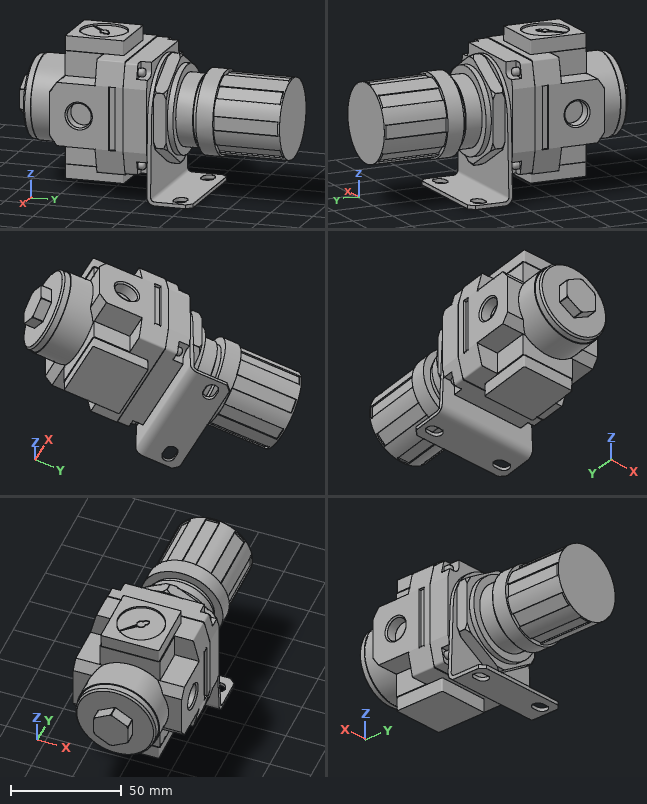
import cadquery as cq
import math


OVERLAP = 0.6

CAP_FRONT = 5.4
CAP_SHOULDER = 9.2
PORT_FRONT = 20.4
COLUMN_FRONT = 23.8
WING_FRONT = 42.1
BONNET_FRONT = 55.5
NOTCH_FRONT = 61.6
BRACKET_FRONT = 66.7
BRACKET_BACK = 68.6
NUT_BACK = 74.7
WASHER_BACK = 77.4
BARREL_BACK = 85.4
COLLAR_FRONT = 88.0
COLLAR_BACK = 96.0
KNOB_BACK = 127.5

CAP_DIAMETER = 40.0
CAP_RIM_DIAMETER = 39.0
CAP_RIM_CHAMFER = 0.9
WASHER_DIAMETER = 42.0
BARREL_DIAMETER = 34.0
NECK_DIAMETER = 32.0
COLLAR_DIAMETER = 40.0
KNOB_DIAMETER = 38.0

BODY_HALF_WIDTH = 26.4
BONNET_HALF_WIDTH = 26.5
TOP_HALF_WIDTH = 23.6
SIDE_HALF_HEIGHT = 14.9
BODY_HALF_HEIGHT = 26.6
BONNET_HALF_HEIGHT = 26.3
BODY_CORNER_RADIUS = 0.9
BONNET_CORNER_RADIUS = 1.4
COLUMN_HALF_WIDTH = 14.5
PORT_CHAMFER_Y = 3.5
PORT_CHAMFER_Z = 4.7

PORT_DIAMETER = 11.5
PORT_DEPTH = 6.0
PORT_Y = 34.3
PORT_CHAMFER = 0.8
GROOVE_FRONT = 48.6
GROOVE_BACK = 51.6
GROOVE_DEPTH = 1.4

GAUGE_WIDTH = 28.2
GAUGE_Y = 37.6
GAUGE_TOP = 33.5
GAUGE_CORNER_RADIUS = 0.6
DIAL_DIAMETER = 22.0
DIAL_DEPTH = 0.9
POINTER_HEIGHT = 0.4
HUB_DIAMETER = 4.0
NEEDLE_LENGTH = 10.6
NEEDLE_HALF_WIDTH = 0.6
TAIL_LENGTH = 4.2
TAIL_HALF_WIDTH = 1.3

NOTCH_INNER = 19.4
NOTCH_CORNER_RADIUS = 3.0
SCREW_OFFSET = 21.8
SCREW_DIAMETER = 4.0
SCREW_LENGTH = 3.0
SCREW_DOME = 1.3

PLUG_ACROSS_FLATS = 16.7
PLUG_CHAMFER = 0.4
PLUG_CORNER_DIAMETER = 19.1
NUT_ACROSS_FLATS = 45.0
NUT_CHAMFER = 1.3
NUT_CORNER_DIAMETER = 51.9

GRIP_COUNT = 8
GRIP_WIDTH = 6.6
GRIP_RADIUS = 18.0
KNOB_LIP = 0.9

BRACKET_HALF_WIDTH = BONNET_HALF_WIDTH
BRACKET_BOTTOM = -39.0
BRACKET_THICKNESS = BRACKET_BACK - BRACKET_FRONT
BRACKET_TOP_RADIUS = 25.1
BEND_RADIUS = 4.0
FLANGE_BACK = 88.0
FLANGE_CHAMFER = 2.7
SLOT_WIDTH = 6.0
SLOT_LENGTH = 8.5
SLOT_OUTER = 24.0
SLOT_Y = 80.6


def box(x0, x1, y0, y1, z0, z1):
    """Block between two opposite corners."""
    return cq.Workplane("XY").box(x1 - x0, y1 - y0, z1 - z0, centered=False).translate((x0, y0, z0))


def across(y):
    """Workplane across the main axis at station y; negative extrusion runs towards +Y."""
    return cq.Workplane("XZ", origin=(0, y, 0))


def rod(diameter, y0, y1):
    """Cylinder on the main axis."""
    return across(y0).circle(diameter / 2).extrude(y0 - y1)


def hexagon(across_flats, y0, y1):
    """Hexagonal prism on the main axis with a corner pointing up."""
    corner_diameter = across_flats / math.cos(math.pi / 6)
    return across(y0).transformed(rotate=(0, 0, 90)).polygon(6, corner_diameter).extrude(y0 - y1)


def tapered_section(y0, y1, half_width, half_height, corner_radius):
    """Prism with flat sides and flanks leaning in towards a narrower top and bottom."""
    upper = [(half_width, SIDE_HALF_HEIGHT), (TOP_HALF_WIDTH, half_height)]
    right = [(x, -z) for x, z in reversed(upper)] + upper
    left = [(-x, z) for x, z in reversed(right)]
    prism = across(y0).polyline(right + left).close().extrude(y0 - y1)
    return prism.faces("<Z or >Z").edges("|Y").fillet(corner_radius)


def make_end_cap():
    rim = rod(CAP_RIM_DIAMETER, CAP_FRONT, CAP_SHOULDER).faces("<Y").chamfer(CAP_RIM_CHAMFER)
    shell = rod(CAP_DIAMETER, CAP_SHOULDER, WING_FRONT)
    plug = hexagon(PLUG_ACROSS_FLATS, 0, CAP_FRONT)
    plug_envelope = rod(PLUG_CORNER_DIAMETER, 0, CAP_FRONT).faces("<Y").chamfer(PLUG_CHAMFER)
    return shell.union(rim).union(plug.intersect(plug_envelope))


def make_port_block():
    """Block running out to both sides with sloped front edges."""
    sloped_z = SIDE_HALF_HEIGHT - PORT_CHAMFER_Z
    sloped_y = PORT_FRONT + PORT_CHAMFER_Y
    outline = [
        (PORT_FRONT, -sloped_z), (sloped_y, -SIDE_HALF_HEIGHT), (BONNET_FRONT, -SIDE_HALF_HEIGHT),
        (BONNET_FRONT, SIDE_HALF_HEIGHT), (sloped_y, SIDE_HALF_HEIGHT), (PORT_FRONT, sloped_z),
    ]
    return cq.Workplane("YZ").polyline(outline).close().extrude(BODY_HALF_WIDTH, both=True)


def make_port_cuts():
    """Chamfered blind hole and shallow groove in each flat side."""
    radius = PORT_DIAMETER / 2
    hole = cq.Workplane("YZ", origin=(BODY_HALF_WIDTH, PORT_Y, 0)).circle(radius).extrude(-PORT_DEPTH)
    countersink = cq.Workplane(
        cq.Solid.makeCone(
            radius + PORT_CHAMFER, radius, PORT_CHAMFER,
            cq.Vector(BODY_HALF_WIDTH, PORT_Y, 0), cq.Vector(-1, 0, 0),
        )
    )
    groove = box(
        BODY_HALF_WIDTH - GROOVE_DEPTH, BODY_HALF_WIDTH, GROOVE_FRONT, GROOVE_BACK,
        -SIDE_HALF_HEIGHT, SIDE_HALF_HEIGHT,
    )
    one_side = hole.union(countersink).union(groove)
    return one_side.union(one_side.mirror("YZ"))


def make_body():
    wings = tapered_section(WING_FRONT, BONNET_FRONT, BODY_HALF_WIDTH, BODY_HALF_HEIGHT, BODY_CORNER_RADIUS)
    column = box(
        -COLUMN_HALF_WIDTH, COLUMN_HALF_WIDTH, COLUMN_FRONT, WING_FRONT + OVERLAP,
        -BODY_HALF_HEIGHT, BODY_HALF_HEIGHT,
    )
    return wings.union(column).union(make_port_block()).cut(make_port_cuts())


def make_gauge():
    """Square gauge on top with a sunken dial and raised pointer, and a plain cover below."""
    half = GAUGE_WIDTH / 2
    block = box(-half, half, GAUGE_Y - half, GAUGE_Y + half, BODY_HALF_HEIGHT, GAUGE_TOP)
    block = block.edges("|Z").fillet(GAUGE_CORNER_RADIUS)
    cover = block.mirror("XY")
    dial_floor = cq.Workplane("XY", origin=(0, GAUGE_Y, GAUGE_TOP - DIAL_DEPTH))
    block = block.cut(dial_floor.circle(DIAL_DIAMETER / 2).extrude(DIAL_DEPTH))
    pointer_plane = dial_floor.transformed(rotate=(0, 0, 45))
    hub = pointer_plane.circle(HUB_DIAMETER / 2).extrude(POINTER_HEIGHT)
    shoulder = TAIL_LENGTH - TAIL_HALF_WIDTH
    arrow = [
        (-NEEDLE_LENGTH, 0), (0, -NEEDLE_HALF_WIDTH), (0, -TAIL_HALF_WIDTH), (shoulder, -TAIL_HALF_WIDTH),
        (TAIL_LENGTH, 0), (shoulder, TAIL_HALF_WIDTH), (0, TAIL_HALF_WIDTH), (0, NEEDLE_HALF_WIDTH),
    ]
    pointer = pointer_plane.polyline(arrow).close().extrude(POINTER_HEIGHT)
    return block.union(hub).union(pointer).union(cover)


def make_bonnet():
    """Section behind the body, with a dome-headed screw in a notch at each corner."""
    bonnet = tapered_section(
        BONNET_FRONT, BRACKET_FRONT, BONNET_HALF_WIDTH, BONNET_HALF_HEIGHT, BONNET_CORNER_RADIUS
    )
    notch = box(
        NOTCH_INNER, BONNET_HALF_WIDTH, NOTCH_FRONT, BRACKET_FRONT, NOTCH_INNER, BONNET_HALF_WIDTH
    )
    notch = notch.edges("|Y and <X and <Z").fillet(NOTCH_CORNER_RADIUS)
    screw_front = NOTCH_FRONT - OVERLAP
    screw = rod(SCREW_DIAMETER, screw_front, NOTCH_FRONT + SCREW_LENGTH)
    screw = screw.faces(">Y").edges().fillet(SCREW_DOME).translate((SCREW_OFFSET, 0, SCREW_OFFSET))
    for quarter in range(4):
        bonnet = bonnet.cut(notch.rotate((0, 0, 0), (0, 1, 0), 90 * quarter))
        bonnet = bonnet.union(screw.rotate((0, 0, 0), (0, 1, 0), 90 * quarter))
    return bonnet


def make_bracket():
    """Bent plate: an upright with a round top and sides tangent to it, and a slotted flange."""
    bend_z = BRACKET_BOTTOM + BEND_RADIUS
    tangent_angle = math.atan2(bend_z, BRACKET_HALF_WIDTH) + math.acos(
        BRACKET_TOP_RADIUS / math.hypot(BRACKET_HALF_WIDTH, bend_z)
    )
    tangent_x = BRACKET_TOP_RADIUS * math.cos(tangent_angle)
    tangent_z = BRACKET_TOP_RADIUS * math.sin(tangent_angle)
    upright_outline = (
        across(BRACKET_FRONT)
        .moveTo(-BRACKET_HALF_WIDTH, BRACKET_BOTTOM)
        .lineTo(BRACKET_HALF_WIDTH, BRACKET_BOTTOM)
        .lineTo(BRACKET_HALF_WIDTH, bend_z)
        .lineTo(tangent_x, tangent_z)
        .threePointArc((0, BRACKET_TOP_RADIUS), (-tangent_x, tangent_z))
        .lineTo(-BRACKET_HALF_WIDTH, bend_z)
        .close()
        .extrude(BRACKET_FRONT - FLANGE_BACK)
    )
    plate = box(
        -BRACKET_HALF_WIDTH, BRACKET_HALF_WIDTH, BRACKET_FRONT, FLANGE_BACK,
        BRACKET_BOTTOM, BRACKET_TOP_RADIUS,
    ).edges("|X and <Y and <Z").fillet(BEND_RADIUS)
    inside = box(
        -BRACKET_HALF_WIDTH, BRACKET_HALF_WIDTH, BRACKET_BACK, FLANGE_BACK,
        BRACKET_BOTTOM + BRACKET_THICKNESS, BRACKET_TOP_RADIUS,
    ).edges("|X and <Y and <Z").fillet(BEND_RADIUS - BRACKET_THICKNESS)
    plate = plate.cut(inside).intersect(upright_outline)
    plate = plate.edges("|Z and >Y").chamfer(FLANGE_CHAMFER)
    slot_x = SLOT_OUTER - SLOT_LENGTH / 2
    slots = (
        cq.Workplane("XY", origin=(0, 0, BRACKET_BOTTOM))
        .pushPoints([(-slot_x, SLOT_Y), (slot_x, SLOT_Y)])
        .slot2D(SLOT_LENGTH, SLOT_WIDTH)
        .extrude(BRACKET_THICKNESS)
    )
    return plate.cut(slots)


def make_nut():
    envelope = rod(NUT_CORNER_DIAMETER, BRACKET_BACK, NUT_BACK).faces("<Y or >Y").chamfer(NUT_CHAMFER)
    return hexagon(NUT_ACROSS_FLATS, BRACKET_BACK, NUT_BACK).intersect(envelope)


def make_knob():
    """Turned barrel, neck and collar, then the knob with sunken grip flats below a full lip."""
    washer = rod(WASHER_DIAMETER, NUT_BACK, WASHER_BACK)
    barrel = rod(BARREL_DIAMETER, WASHER_BACK, BARREL_BACK)
    neck = rod(NECK_DIAMETER, BARREL_BACK, COLLAR_FRONT)
    collar = rod(COLLAR_DIAMETER, COLLAR_FRONT, COLLAR_BACK)
    knob = rod(KNOB_DIAMETER, COLLAR_BACK, KNOB_BACK)
    grip = box(
        -GRIP_WIDTH / 2, GRIP_WIDTH / 2, COLLAR_BACK, KNOB_BACK - KNOB_LIP, GRIP_RADIUS, KNOB_DIAMETER / 2
    )
    for index in range(GRIP_COUNT):
        knob = knob.cut(grip.rotate((0, 0, 0), (0, 1, 0), index * 360 / GRIP_COUNT))
    return washer.union(barrel).union(neck).union(collar).union(knob)


result = make_body()
for component in (
    make_end_cap(), make_gauge(), make_bonnet(), make_bracket(), make_nut(), make_knob(),
):
    result = result.union(component)